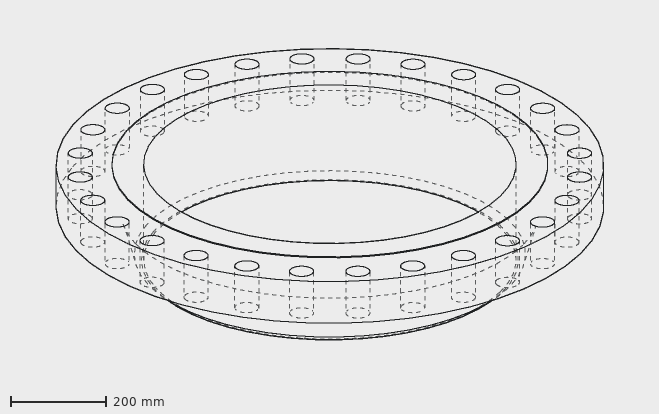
import cadquery as cq
import math

flange_diameter = 1149.0
total_height = 222.0
raised_face_diameter = 915.0
raised_face_height = 2.0
flange_thickness = 97.0

hub_top_diameter = 883.0
hub_bottom_diameter = 821.0
bevel_height = 14.0
bevel_end_diameter = 791.0
hub_fillet_radius = 18.0

bore_diameter = 782.0
bolt_circle_diameter = 1054.0
bolt_hole_diameter = 50.0
bolt_count = 28

flange_top = total_height - raised_face_height
flange_bottom = flange_top - flange_thickness


def make_body():
    """Revolve the ring's half section around Z, with its bottom at Z = 0."""
    wall_run = (hub_top_diameter - hub_bottom_diameter) / 2
    wall_rise = flange_bottom - bevel_height
    wall_lean = math.atan2(wall_run, wall_rise)
    turn = math.pi / 2 - wall_lean
    tangent_length = hub_fillet_radius * math.tan(turn / 2)
    hub_top_radius = hub_top_diameter / 2
    fillet_start = (hub_top_radius + tangent_length, flange_bottom)
    fillet_end = (
        hub_top_radius - tangent_length * math.sin(wall_lean),
        flange_bottom - tangent_length * math.cos(wall_lean),
    )
    return (
        cq.Workplane("XZ")
        .moveTo(bore_diameter / 2, 0)
        .lineTo(bore_diameter / 2, total_height)
        .lineTo(raised_face_diameter / 2, total_height)
        .lineTo(raised_face_diameter / 2, flange_top)
        .lineTo(flange_diameter / 2, flange_top)
        .lineTo(flange_diameter / 2, flange_bottom)
        .lineTo(*fillet_start)
        .tangentArcPoint(fillet_end, relative=False)
        .lineTo(hub_bottom_diameter / 2, bevel_height)
        .lineTo(bevel_end_diameter / 2, 0)
        .close()
        .revolve(360, (0, 0, 0), (0, 1, 0))
    )


def make_bolt_holes():
    """Vertical cylinders on the bolt circle, the first one on the +X axis."""
    return (
        cq.Workplane("XY")
        .polarArray(bolt_circle_diameter / 2, 0, 360, bolt_count)
        .circle(bolt_hole_diameter / 2)
        .extrude(total_height)
    )


result = make_body().cut(make_bolt_holes())